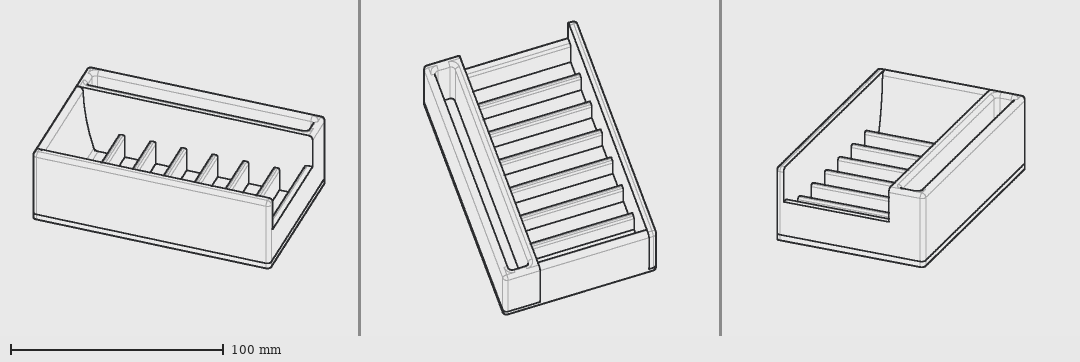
import cadquery as cq

LENGTH = 119.0
DEPTH = 76.0
HEIGHT = 38.0

BASE_THICKNESS = 3.0
EDGE_RADIUS = 2.0
WALL = 2 * EDGE_RADIUS

BIN_DEPTH = 18.0

DIVIDER_COUNT = 6
DIVIDER_THICKNESS = 3.0
FIRST_DIVIDER_X = 22.0
DIVIDER_TOP = 15.5
DIVIDER_EDGE_RADIUS = 1.0

END_WALL_TOP = 20.5
END_WALL_EDGE_RADIUS = 1.3

HOLLOW_RADIUS = 119.0
HOLLOW_FOOT_X = 9.9
HOLLOW_FOOT_RADIUS = 2.1

BIN_FRONT = DEPTH - BIN_DEPTH
TRAY_DEPTH = BIN_FRONT - WALL
END_WALL_X = LENGTH - WALL
DIVIDER_PITCH = (END_WALL_X - FIRST_DIVIDER_X) / DIVIDER_COUNT
ROUNDING_START = HEIGHT - EDGE_RADIUS


def block(x, y, z, x_size, y_size, z_size):
    """A box whose lowest corner lies at (x, y, z)."""
    return cq.Workplane("XY", origin=(x, y, z)).box(x_size, y_size, z_size, centered=False)


def rounded_envelope():
    """The whole outer block with rounded upright corners and a rounded top edge."""
    envelope = block(0, 0, 0, LENGTH, DEPTH, HEIGHT).edges("|Z").fillet(EDGE_RADIUS)
    return envelope.faces(">Z").edges().fillet(EDGE_RADIUS)


def make_left_wall():
    """The left wall and the strip of base at its foot, extruded along Y."""
    strip_end = HOLLOW_FOOT_X + 2 * HOLLOW_FOOT_RADIUS
    wall = (
        cq.Workplane("XZ", origin=(0, BIN_FRONT, 0))
        .lineTo(strip_end, 0)
        .lineTo(strip_end, BASE_THICKNESS)
        .lineTo(HOLLOW_FOOT_X, BASE_THICKNESS)
        .radiusArc((WALL, ROUNDING_START), HOLLOW_RADIUS)
        .threePointArc((EDGE_RADIUS, HEIGHT), (0, ROUNDING_START))
        .close()
        .extrude(TRAY_DEPTH)
    )
    foot = cq.selectors.NearestToPointSelector((HOLLOW_FOOT_X, WALL + TRAY_DEPTH / 2, BASE_THICKNESS))
    return wall.edges(foot).fillet(HOLLOW_FOOT_RADIUS)


def make_base():
    plate = block(0, 0, 0, LENGTH, DEPTH, BASE_THICKNESS).edges("|Z").fillet(EDGE_RADIUS)
    return plate.union(make_left_wall()).clean()


def make_front_wall():
    wall = block(0, 0, BASE_THICKNESS, LENGTH, WALL, HEIGHT - BASE_THICKNESS)
    return wall.intersect(rounded_envelope())


def make_bin():
    """The rear bin, open at the top and closed below by the base plate."""
    wall_height = HEIGHT - BASE_THICKNESS
    pocket_length = LENGTH - 2 * WALL
    pocket_depth = BIN_DEPTH - 2 * WALL
    outside = block(0, BIN_FRONT, BASE_THICKNESS, LENGTH, BIN_DEPTH, wall_height)
    pocket = block(WALL, BIN_FRONT + WALL, BASE_THICKNESS, pocket_length, pocket_depth, wall_height)
    walls = outside.cut(pocket.edges("|Z").fillet(EDGE_RADIUS))
    rim = cq.selectors.BoxSelector(
        (EDGE_RADIUS, BIN_FRONT + EDGE_RADIUS, ROUNDING_START),
        (LENGTH - EDGE_RADIUS, DEPTH - EDGE_RADIUS, HEIGHT + EDGE_RADIUS),
    )
    walls = walls.faces(">Z").edges(rim).fillet(EDGE_RADIUS)
    return walls.intersect(rounded_envelope()).clean()


def make_divider(x):
    divider = block(x, WALL, BASE_THICKNESS, DIVIDER_THICKNESS, TRAY_DEPTH, DIVIDER_TOP - BASE_THICKNESS)
    return divider.edges("|Y and >Z").fillet(DIVIDER_EDGE_RADIUS)


def make_end_wall():
    wall = block(END_WALL_X, WALL, BASE_THICKNESS, WALL, TRAY_DEPTH, END_WALL_TOP - BASE_THICKNESS)
    return wall.edges("|Y and >Z and <X").fillet(END_WALL_EDGE_RADIUS)


def make_insert():
    insert = make_bin().union(make_end_wall()).union(make_front_wall())
    for i in range(DIVIDER_COUNT):
        insert = insert.union(make_divider(FIRST_DIVIDER_X + i * DIVIDER_PITCH))
    return insert.clean()


base = make_base()
insert = make_insert()
result = cq.Compound.makeCompound([base.solids().val(), insert.solids().val()])